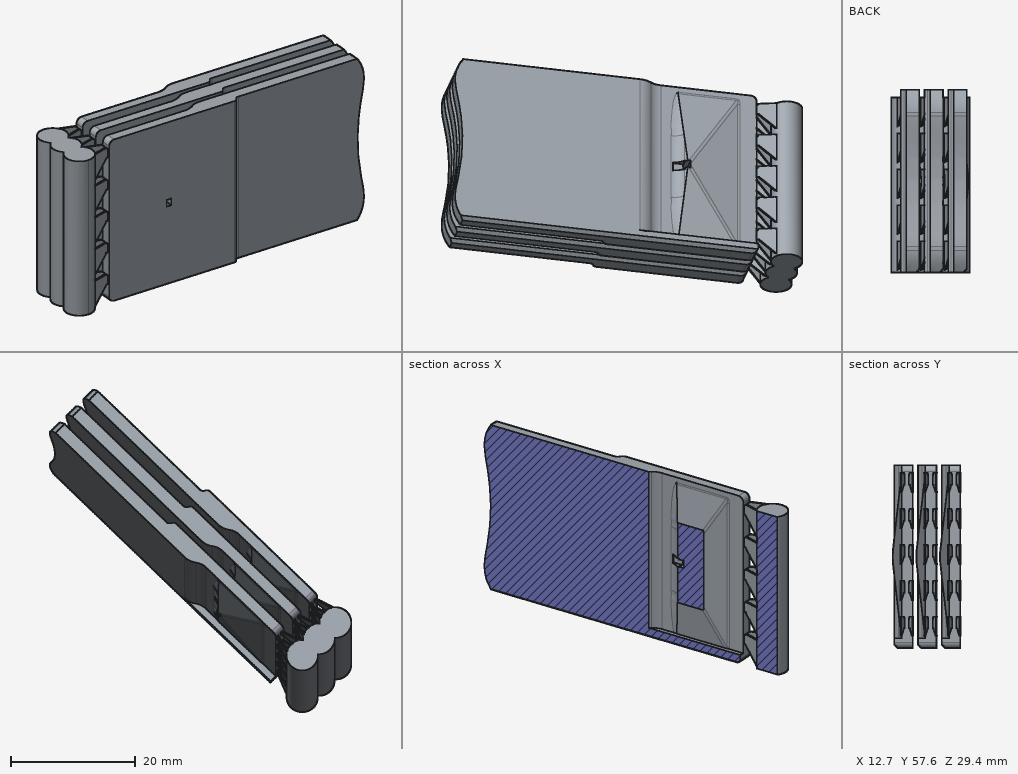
import cadquery as cq
import math

blade_count = 3
blade_pitch = 3.8

rod_radius = 2.55
rod_height = 28.1
rod_y = -5.1

total_length = 57.6
blade_height = 29.4
blade_left = -2.0
blade_right = 1.0
blade_back = total_length + rod_y - rod_radius
corner_radius = 1.0
bottom_chamfer = 0.6

thin_right = 0.05
step_front = 24.2
step_back = 25.6

wave_depth = 1.2
wave_corner_depth = 1.3
wave_crest_inset = 3.65
flank_depth = 0.55
flank_offset = 6.9

recess_floor = -0.8
recess_front_tangent = 15.85
recess_inflection = 17.55
recess_back = 19.55
rim_height = 1.6

mid_z = blade_height / 2
pyramid_half_height = 13.65
pyramid_front = 3.0
pyramid_back = 12.95
pyramid_tip_y = 11.65
pyramid_rise = 1.55
pyramid_blend = 2.6
blend_root = 0.3
blend_steps = 10

window_front = 11.2
window_back = 12.05
window_height = 1.2
channel_back = 13.75
channel_height = 1.5
channel_depth = 0.3

tooth_count = 5
tooth_pitch = 5.75
tooth_root_height = 4.9
tooth_tip_height = 1.9
tooth_tip_chamfer = 0.35
tooth_thickness = 0.26
tooth_tip_x = 0.45
tooth_root_x = 1.5
tooth_root_y = -3.35
tooth_overlap = 0.2


def box(x0, x1, y0, y1, z0, z1):
    return cq.Workplane("XY").box(x1 - x0, y1 - y0, z1 - z0, centered=False).translate((x0, y0, z0))


def blade_side_outline():
    """Side shape of the blade, rounded in front and wavy at the rear, wide enough for the pyramid."""
    corner_y = blade_back - wave_corner_depth
    rear_wave = [
        (blade_back, wave_crest_inset),
        (blade_back - flank_depth, mid_z - flank_offset),
        (blade_back - wave_depth, mid_z),
        (blade_back - flank_depth, mid_z + flank_offset),
        (blade_back, blade_height - wave_crest_inset),
        (corner_y, blade_height),
    ]
    return (
        cq.Workplane("YZ", origin=(blade_left - pyramid_rise, 0, 0))
        .moveTo(0, 0)
        .lineTo(corner_y, 0)
        .spline(rear_wave, includeCurrent=True)
        .lineTo(0, blade_height)
        .close()
        .extrude(blade_right - blade_left + pyramid_rise)
        .edges("|X and <Y")
        .fillet(corner_radius)
    )


def plan_prism(recessed):
    """Blade cross-section in plan, with or without the recess, over the full height."""
    step_middle = ((blade_right + thin_right) / 2, (step_front + step_back) / 2)
    plan = (
        cq.Workplane("XY")
        .moveTo(blade_right, 0)
        .lineTo(blade_right, step_front)
        .tangentArcPoint(step_middle, relative=False)
        .tangentArcPoint((thin_right, step_back), relative=False)
        .lineTo(thin_right, blade_back)
        .lineTo(blade_left, blade_back)
    )
    if recessed:
        share = (recess_back - recess_inflection) / (recess_back - recess_front_tangent)
        inflection_x = blade_left + share * (recess_floor - blade_left)
        plan = (
            plan.lineTo(blade_left, recess_back)
            .tangentArcPoint((inflection_x, recess_inflection), relative=False)
            .tangentArcPoint((recess_floor, recess_front_tangent), relative=False)
            .lineTo(recess_floor, 0)
        )
    else:
        plan = plan.lineTo(blade_left, 0)
    return plan.close().extrude(blade_height)


def pyramid():
    """Low pyramid with a gentle front slope, a steep back and rounded front ridges."""
    tip_x = recess_floor - pyramid_rise
    length_profile = (
        cq.Workplane("XY")
        .polyline([(recess_floor, pyramid_front), (tip_x, pyramid_tip_y), (recess_floor, pyramid_back)])
        .close()
        .extrude(blade_height)
    )
    height_profile = (
        cq.Workplane("XZ")
        .polyline([
            (recess_floor, mid_z - pyramid_half_height),
            (tip_x, mid_z),
            (recess_floor, mid_z + pyramid_half_height),
        ])
        .close()
        .extrude(-recess_back)
    )
    sharp = length_profile.intersect(height_profile)
    ridge_y = (pyramid_front + pyramid_tip_y) / 2
    ridge_zone = cq.selectors.BoxSelector(
        (tip_x, ridge_y - 0.6, 0),
        (recess_floor - pyramid_rise / 4, ridge_y + 0.6, blade_height),
    )
    return sharp.edges(ridge_zone).fillet(pyramid_blend)


def back_blend():
    """Concave blend between the floor and the steep back of the pyramid.

    It follows a ball rolling along the foot of the back wall. Towards both ends the wall is too low
    to reach the tangent point, so there the ball rolls on the ridge and the blend narrows.
    """
    back_run = pyramid_back - pyramid_tip_y
    wall_angle = math.atan2(pyramid_rise, back_run)

    def outline(angle):
        """Section where the ball touches the pyramid at this angle above its lowest point."""
        contact_y = pyramid_back - back_run * contact_fraction(angle)
        floor_y = contact_y + pyramid_blend * math.sin(angle)

        def on_ball(turn):
            return (
                recess_floor - pyramid_blend * (1 - math.cos(turn)),
                floor_y - pyramid_blend * math.sin(turn),
            )

        root_x = recess_floor + blend_root
        return (
            cq.Workplane("XY")
            .moveTo(root_x, floor_y)
            .lineTo(*on_ball(0))
            .threePointArc(on_ball(angle / 2), on_ball(angle))
            .lineTo(root_x, contact_y)
            .close()
            .val()
        )

    def contact_fraction(angle):
        return pyramid_blend * (1 - math.cos(angle)) / pyramid_rise

    def offset_z(angle):
        return pyramid_half_height * (1 - contact_fraction(angle))

    full_length = 2 * offset_z(wall_angle)
    middle = (
        cq.Workplane("XY")
        .add(outline(wall_angle))
        .toPending()
        .extrude(full_length)
        .translate((0, 0, mid_z - full_length / 2))
    )
    sections = []
    for step in range(blend_steps):
        angle = wall_angle * (1 - step / blend_steps)
        sections.append(outline(angle).translate(cq.Vector(0, 0, mid_z + offset_z(angle))))
    upper_end = cq.Workplane("XY").add(cq.Solid.makeLoft(sections))
    lower_end = upper_end.mirror("XY", (0, 0, mid_z))
    return middle.union(upper_end).union(lower_end)


def recessed_plate():
    """Plate with the pyramid on its recess floor, blended into the floor along its base."""
    plate = plan_prism(recessed=True).union(pyramid())
    base_zone = cq.selectors.BoxSelector(
        (recess_floor - 0.05, pyramid_front - 0.6, mid_z - pyramid_half_height - 0.6),
        (recess_floor + 0.05, pyramid_back - 0.6, mid_z + pyramid_half_height + 0.6),
    )
    return plate.edges(base_zone).fillet(pyramid_blend).union(back_blend())


def blade():
    plate = recessed_plate()
    rim = plan_prism(recessed=False).intersect(
        box(blade_left, blade_right, 0, blade_back, 0, rim_height)
    )
    window = box(
        blade_left - pyramid_rise, blade_right, window_front, window_back,
        mid_z - window_height / 2, mid_z + window_height / 2,
    )
    channel = box(
        blade_left - pyramid_rise, recess_floor + channel_depth, window_back, channel_back,
        mid_z - channel_height / 2, mid_z + channel_height / 2,
    )
    bevel = (
        cq.Workplane("XZ")
        .polyline([(blade_left, 0), (blade_left + bottom_chamfer, 0), (blade_left, bottom_chamfer)])
        .close()
        .extrude(-blade_back)
    )
    return plate.union(rim).intersect(blade_side_outline()).cut(window).cut(channel).cut(bevel)


def tooth_outline():
    """Tooth seen along X with its top at Z = 0: square at the top, 45 degrees underneath."""
    slope = tooth_root_height - tooth_tip_height
    tip_floor_y = tooth_root_y + slope
    return [
        (tooth_overlap, -tooth_tip_chamfer),
        (0, -tooth_tip_chamfer),
        (-tooth_tip_chamfer, 0),
        (rod_y, 0),
        (rod_y, -tooth_root_height),
        (tooth_root_y, -tooth_root_height),
        (tip_floor_y, -tooth_tip_height),
        (tooth_overlap, -tooth_tip_height),
    ]


def sheet(side):
    """Thin full-height sheet that splays from the blade front to the rod; side is -1 or +1."""
    half = tooth_thickness / 2
    splay = (tooth_root_x - tooth_tip_x) / -tooth_root_y
    tip = (side * (tooth_tip_x - splay * tooth_overlap), tooth_overlap)
    root = (side * tooth_root_x, tooth_root_y)
    corners = [
        (tip[0] - half, tip[1]),
        (tip[0] + half, tip[1]),
        (root[0] + half, root[1]),
        (root[0] - half, root[1]),
    ]
    return cq.Workplane("XY").polyline(corners).close().extrude(rod_height)


def teeth():
    row = cq.Workplane("XY")
    for index in range(tooth_count):
        top = rod_height - index * tooth_pitch
        comb = (
            cq.Workplane("YZ", origin=(-rod_radius, 0, top))
            .polyline(tooth_outline())
            .close()
            .extrude(2 * rod_radius)
        )
        row = row.add(comb.intersect(sheet(-1)).union(comb.intersect(sheet(1))))
    return row.combine()


def rod():
    return cq.Workplane("XY", origin=(0, rod_y, 0)).circle(rod_radius).extrude(rod_height)


unit = rod().union(teeth()).union(blade())
result = unit
for index in range(1, blade_count):
    result = result.union(unit.translate((index * blade_pitch, 0, 0)))